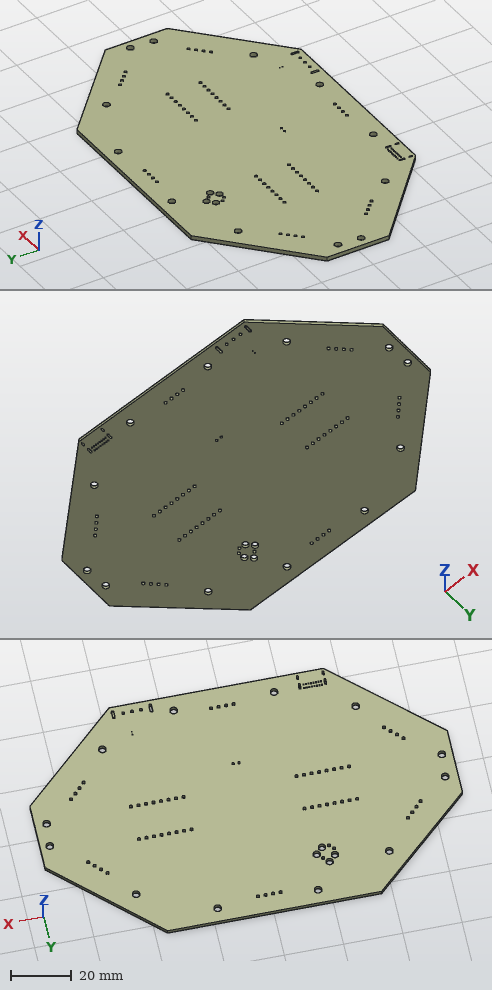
import cadquery as cq
import math

BOARD_LENGTH = 140.8
BOARD_WIDTH = 87.5
BOARD_THICKNESS = 1.6
BACK_EDGE_X = (-36.3, 35.9)
FRONT_EDGE_X = (-35.3, 37.0)
LEFT_EDGE_Y = (-11.9, 12.05)
RIGHT_EDGE_Y = (-12.4, 11.65)

QUARTER_TURN = 90
HALF_TURN = 180

HEADER_PITCH = 2.54
HEADER_HOLE_DIAMETER = 1.0

MODULES_CENTER = (0.21, 0.22)
MODULE_PLACES = [
    (-0.05, 36.82, 0),
    (-53.63, 15.1, 45),
    (53.14, 15.02, -45),
]
MODULE_PIN_COUNT = 4
MOUNTING_HOLE_DIAMETER = 2.5
MOUNTING_HOLE_SPACING = 33.9
MOUNTING_HOLES_SHIFT = (0.85, 1.7)

SOCKETS_CENTER = (1.0, 1.05)
SOCKET_PIN_COUNT = 8
SOCKET_ROW_SPACING = 5 * HEADER_PITCH
SOCKET_SPACING = 22 * HEADER_PITCH

PROGRAMMER_CENTER = (-21.92, 25.38)
PROGRAMMER_ROTATION = 225
ALIGNMENT_HOLE_DIAMETER = 0.99
ALIGNMENT_REACH = 2.54
ALIGNMENT_PAIR_HALF_SPACING = 1.016
LEG_HOLE_DIAMETER = 2.38
LEG_HALF_SPACING = 2.54
LEG_ROW_OFFSETS = [-2.54, 0.635]

BATTERY_CENTER = (0.4, -14.28)
BATTERY_PIN_COUNT = 2
BATTERY_PITCH = 2.0
BATTERY_HOLE_DIAMETER = 0.75

USB_CENTER_X = -30.6
USB_BACK_ROW_Y = -37.74
USB_ROW_SPACING = 1.35
USB_CONTACT_COUNT = 8
USB_CONTACT_PITCH = 0.85
USB_CONTACT_DIAMETER = 0.4
USB_SLOT_SPACING = 8.65
USB_SLOT_WIDTH = 0.6
USB_LONG_SLOT_LENGTH = 2.1
USB_SHORT_SLOT_LENGTH = 1.4
USB_LONG_SLOT_SETBACK = 0.98
USB_SLOT_PAIR_SPACING = 3.38
USB_LONG_SLOT_Y = USB_BACK_ROW_Y - USB_LONG_SLOT_SETBACK
USB_SHORT_SLOT_Y = USB_LONG_SLOT_Y - USB_SLOT_PAIR_SPACING

SWITCH_CENTER = (29.85, -40.85)
SWITCH_PIN_COUNT = 3
SWITCH_PIN_PITCH = 3.0
SWITCH_PIN_DIAMETER = 0.89
SWITCH_SLOT_SPACING = 12.7
SWITCH_SLOT_WIDTH = 0.89
SWITCH_SLOT_LENGTH = 2.95

ISLAND_SIDE_GAP = 0.1
ISLAND_END_GAP = 0.4
ISLAND_WIDTH = SWITCH_SLOT_WIDTH - 2 * ISLAND_SIDE_GAP
ISLAND_LENGTH = SWITCH_SLOT_LENGTH - 2 * ISLAND_END_GAP

VIAS_CENTER = (31.6, -32.7)
VIA_SPACING = 1.1
VIA_DIAMETER = 0.25


def row_points(count, pitch):
    """Points of a straight row along X, centred on the origin."""
    return [((i - (count - 1) / 2) * pitch, 0) for i in range(count)]


def placed(points, center, rotation=0):
    """Points turned about the origin by `rotation` degrees, then moved to `center`."""
    c = math.cos(math.radians(rotation))
    s = math.sin(math.radians(rotation))
    return [(center[0] + c * x - s * y, center[1] + s * x + c * y) for x, y in points]


def round_bars(points, diameter):
    """Cylinders as tall as the board is thick."""
    return cq.Workplane("XY").pushPoints(points).circle(diameter / 2).extrude(BOARD_THICKNESS)


def slot_bars(points, length, width):
    """Round-ended bars along Y, as tall as the board is thick."""
    profiles = cq.Workplane("XY").pushPoints(points).slot2D(length, width, QUARTER_TURN)
    return profiles.extrude(BOARD_THICKNESS)


def make_blank():
    half_length = BOARD_LENGTH / 2
    half_width = BOARD_WIDTH / 2
    outline = [
        (BACK_EDGE_X[0], half_width),
        (BACK_EDGE_X[1], half_width),
        (half_length, RIGHT_EDGE_Y[1]),
        (half_length, RIGHT_EDGE_Y[0]),
        (FRONT_EDGE_X[1], -half_width),
        (FRONT_EDGE_X[0], -half_width),
        (-half_length, LEFT_EDGE_Y[0]),
        (-half_length, LEFT_EDGE_Y[1]),
    ]
    return cq.Workplane("XY").polyline(outline).close().extrude(BOARD_THICKNESS)


def cut_modules(board):
    pins = row_points(MODULE_PIN_COUNT, HEADER_PITCH)
    holes = placed(row_points(2, MOUNTING_HOLE_SPACING), MOUNTING_HOLES_SHIFT)
    for x, y, rotation in MODULE_PLACES:
        for turn in (0, HALF_TURN):
            center = placed([(x, y)], MODULES_CENTER, turn)[0]
            angle = rotation + turn
            board = board.cut(round_bars(placed(pins, center, angle), HEADER_HOLE_DIAMETER))
            board = board.cut(round_bars(placed(holes, center, angle), MOUNTING_HOLE_DIAMETER))
    return board


def cut_sockets(board):
    pins = row_points(SOCKET_PIN_COUNT, HEADER_PITCH)
    row_centers = [
        (x * SOCKET_SPACING / 2, y * SOCKET_ROW_SPACING / 2)
        for x in (-1, 1)
        for y in (-1, 1)
    ]
    for center in placed(row_centers, SOCKETS_CENTER):
        board = board.cut(round_bars(placed(pins, center), HEADER_HOLE_DIAMETER))
    return board


def cut_programmer(board):
    legs = [(x, side * LEG_HALF_SPACING) for x in LEG_ROW_OFFSETS for side in (-1, 1)]
    alignment = [
        (-ALIGNMENT_REACH, 0),
        (ALIGNMENT_REACH, -ALIGNMENT_PAIR_HALF_SPACING),
        (ALIGNMENT_REACH, ALIGNMENT_PAIR_HALF_SPACING),
    ]
    for points, diameter in ((legs, LEG_HOLE_DIAMETER), (alignment, ALIGNMENT_HOLE_DIAMETER)):
        turned = placed(points, PROGRAMMER_CENTER, PROGRAMMER_ROTATION)
        board = board.cut(round_bars(turned, diameter))
    return board


def cut_battery(board):
    pins = placed(row_points(BATTERY_PIN_COUNT, BATTERY_PITCH), BATTERY_CENTER)
    return board.cut(round_bars(pins, BATTERY_HOLE_DIAMETER))


def cut_usb(board):
    contacts = row_points(USB_CONTACT_COUNT, USB_CONTACT_PITCH)
    for row_y in (USB_BACK_ROW_Y, USB_BACK_ROW_Y - USB_ROW_SPACING):
        row = placed(contacts, (USB_CENTER_X, row_y))
        board = board.cut(round_bars(row, USB_CONTACT_DIAMETER))
    slots = row_points(2, USB_SLOT_SPACING)
    for slot_y, length in (
        (USB_LONG_SLOT_Y, USB_LONG_SLOT_LENGTH),
        (USB_SHORT_SLOT_Y, USB_SHORT_SLOT_LENGTH),
    ):
        pair = placed(slots, (USB_CENTER_X, slot_y))
        board = board.cut(slot_bars(pair, length, USB_SLOT_WIDTH))
    return board


def switch_slot_centers():
    return placed(row_points(2, SWITCH_SLOT_SPACING), SWITCH_CENTER)


def cut_switch(board):
    pins = placed(row_points(SWITCH_PIN_COUNT, SWITCH_PIN_PITCH), SWITCH_CENTER)
    board = board.cut(round_bars(pins, SWITCH_PIN_DIAMETER))
    return board.cut(slot_bars(switch_slot_centers(), SWITCH_SLOT_LENGTH, SWITCH_SLOT_WIDTH))


def cut_vias(board):
    vias = placed(row_points(2, VIA_SPACING), VIAS_CENTER, QUARTER_TURN)
    return board.cut(round_bars(vias, VIA_DIAMETER))


def make_board():
    board = make_blank()
    board = cut_modules(board)
    board = cut_sockets(board)
    board = cut_programmer(board)
    board = cut_battery(board)
    board = cut_usb(board)
    board = cut_switch(board)
    return cut_vias(board)


def make_slot_island():
    right_slot_center = switch_slot_centers()[-1]
    return slot_bars([right_slot_center], ISLAND_LENGTH, ISLAND_WIDTH)


board = make_board()
slot_island = make_slot_island()

result = cq.Compound.makeCompound([board.val(), slot_island.val()])